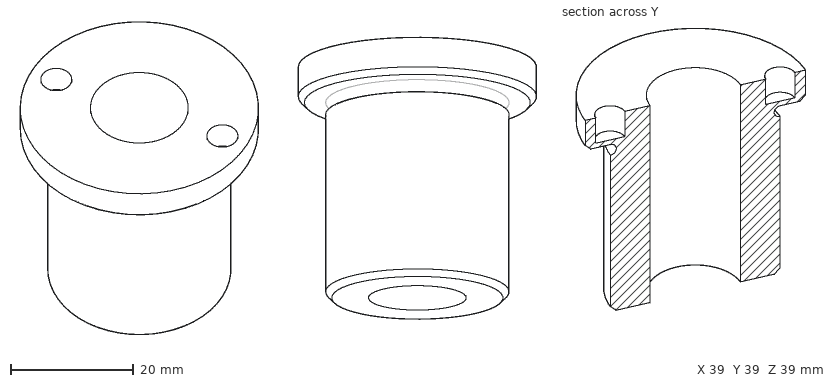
import cadquery as cq

height = 39.0
flange_radius = 19.5
flange_thickness = 6.0
body_radius = 15.0
bore_radius = 8.0
edge_chamfer = 1.0

undercut_radius = 1.0

pin_hole_diameter = 5.07
pin_hole_depth = 5.0
pin_circle_radius = body_radius

flange_bottom = height - flange_thickness
undercut_center = flange_bottom - undercut_radius
undercut_bottom = undercut_center - undercut_radius
neck_radius = body_radius - undercut_radius


def make_turned_body():
    """Revolve the half section of the bushing about Z."""
    return (
        cq.Workplane("XZ")
        .moveTo(bore_radius, 0)
        .lineTo(body_radius - edge_chamfer, 0)
        .lineTo(body_radius, edge_chamfer)
        .lineTo(body_radius, undercut_bottom)
        .threePointArc((neck_radius, undercut_center), (body_radius, flange_bottom))
        .lineTo(flange_radius - edge_chamfer, flange_bottom)
        .lineTo(flange_radius, flange_bottom + edge_chamfer)
        .lineTo(flange_radius, height)
        .lineTo(bore_radius, height)
        .close()
        .revolve(360, (0, 0, 0), (0, 1, 0))
    )


def drill_pin_holes(body):
    """Sink two opposite blind holes into the flange face."""
    return (
        body.faces(">Z")
        .workplane(origin=(0, 0, height))
        .pushPoints([(-pin_circle_radius, 0), (pin_circle_radius, 0)])
        .hole(pin_hole_diameter, pin_hole_depth)
    )


result = drill_pin_holes(make_turned_body())